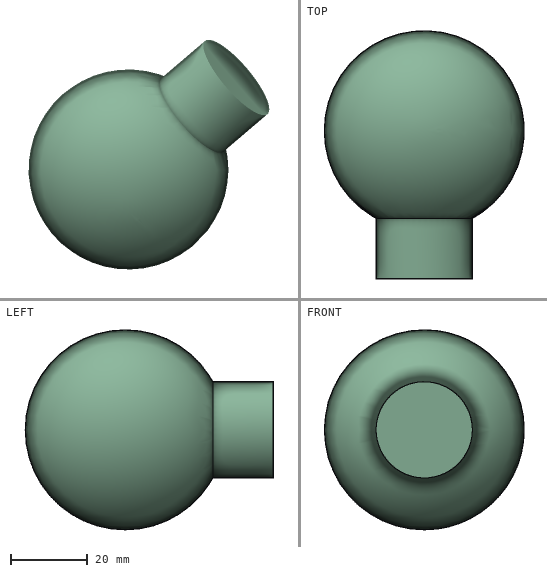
import cadquery as cq

overall_length = 64.5
ball_diameter = 52.0
neck_diameter = 25.0

ball_radius = ball_diameter / 2
neck_reach = overall_length - ball_radius

ball = cq.Workplane("XY").sphere(ball_radius)

neck = cq.Workplane("XZ").circle(neck_diameter / 2).extrude(neck_reach)

result = ball.union(neck)